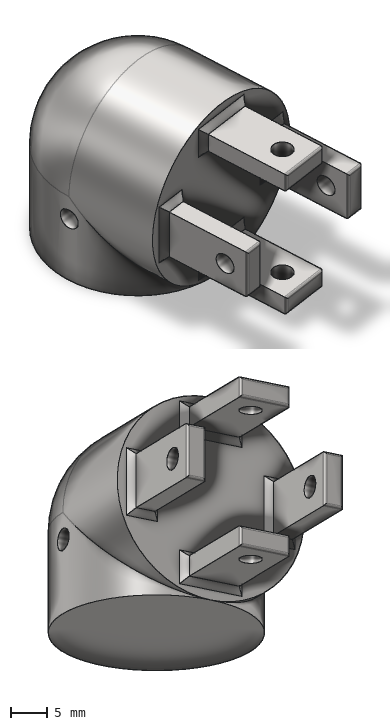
import cadquery as cq

total_length = 45.0
body_radius = total_length / 3
branch_length = body_radius
prong_length = total_length - body_radius - branch_length

prong_thickness = 3.0
prong_width = 8.0
prong_offset = 11.02
root_flare = 1.0
tip_radius = 0.35

hole_diameter = 3.2
prong_hole_inset = 4.0
cross_hole_drop = 4.0

prong_count = 4


def make_elbow():
    """Ball-cornered elbow: one branch along +X, one along -Z."""
    ball = cq.Workplane("XY").sphere(body_radius)
    side_branch = cq.Workplane("YZ").circle(body_radius).extrude(branch_length)
    down_branch = cq.Workplane("XY").circle(body_radius).extrude(-branch_length)
    return ball.union(side_branch).union(down_branch)


def make_prong():
    """Flat prong above the branch axis, with a flared root, rounded tip and hole."""
    blade = (
        cq.Workplane("YZ", origin=(branch_length, 0, prong_offset))
        .rect(prong_width, prong_thickness)
        .extrude(prong_length)
        .faces(">X")
        .edges()
        .fillet(tip_radius)
    )
    root = (
        cq.Workplane("YZ", origin=(branch_length, 0, prong_offset))
        .rect(prong_width + 2 * root_flare, prong_thickness + 2 * root_flare)
        .workplane(offset=root_flare)
        .rect(prong_width, prong_thickness)
        .loft(ruled=True)
    )
    hole_x = branch_length + prong_length - prong_hole_inset
    hole = (
        cq.Workplane("XY", origin=(hole_x, 0, prong_offset))
        .circle(hole_diameter / 2)
        .extrude(prong_thickness, both=True)
    )
    return blade.union(root).cut(hole)


def make_cross_hole():
    """Hole straight through the down branch along Y."""
    return (
        cq.Workplane("XZ", origin=(0, 0, -cross_hole_drop))
        .circle(hole_diameter / 2)
        .extrude(body_radius, both=True)
    )


result = make_elbow()
prong = make_prong()
for i in range(prong_count):
    angle = i * 360 / prong_count
    result = result.union(prong.rotate((0, 0, 0), (1, 0, 0), angle))
result = result.cut(make_cross_hole())